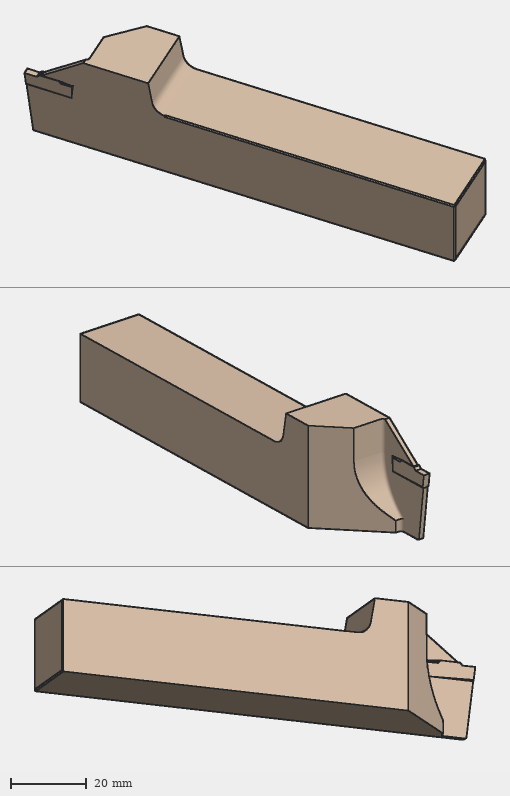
import cadquery as cq
import math

LENGTH = 125.0
WIDTH = 20.0
SHANK_HEIGHT = 20.0
HEAD_HEIGHT = 30.0
HEAD_FRONT_X = 17.0
HEAD_REAR_X = 35.9
HEAD_REAR_ANGLE = 10.0
HEAD_REAR_RADIUS = 4.0
SHANK_CHAMFER = 0.4
CHAMFER_START_X = 40.6

BLADE_THICKNESS = 1.5
NOSE_ANGLE = 7.0
NOSE_CORNER_RADIUS = 0.5

RELIEF_WALL_X = 17.8
RELIEF_ARC_TOP_Z = 20.2
RELIEF_RADIUS = 21.2
RELIEF_ARC_ANGLE = 45.0
RELIEF_FRONT_X = 9.9
RELIEF_FILLET = 1.0
BEVEL_END_X = 26.4
MARGIN = 6.2

INSERT_BOTTOM_Z = 16.0
INSERT_BEVEL_HEIGHT = 0.4
INSERT_SIDE_OVERHANG = 0.2
INSERT_RAKE_END_X = 3.6
INSERT_CLAMP_START_X = 4.4
INSERT_CLAMP_END_X = 10.0
INSERT_CLAMP_Z = 20.8
INSERT_TAIL_START_X = 10.5
INSERT_END_X = 13.6
POCKET_END_X = 14.0
POCKET_END_Z = 20.4
SLOPE_START_X = 4.9


def nose_x(z):
    """X of the inclined front edge at height z."""
    return (SHANK_HEIGHT - z) * math.tan(math.radians(NOSE_ANGLE))


def extrude_side(profile, y_start, y_end):
    """Extrude a closed XZ profile from y_start to y_end."""
    return profile.extrude(y_start - y_end).translate((0, y_start, 0))


def holder_blank():
    rear_foot_x = HEAD_REAR_X + (HEAD_HEIGHT - SHANK_HEIGHT) * math.tan(math.radians(HEAD_REAR_ANGLE))
    profile = cq.Workplane("XZ").polyline([
        (nose_x(0), 0),
        (LENGTH, 0),
        (LENGTH, SHANK_HEIGHT),
        (rear_foot_x, SHANK_HEIGHT),
        (HEAD_REAR_X, HEAD_HEIGHT),
        (HEAD_FRONT_X, HEAD_HEIGHT),
        (SLOPE_START_X, INSERT_CLAMP_Z),
        (nose_x(INSERT_BOTTOM_Z), INSERT_BOTTOM_Z),
    ]).close()
    blank = extrude_side(profile, 0, WIDTH)
    rear_foot = cq.selectors.NearestToPointSelector((rear_foot_x, WIDTH / 2, SHANK_HEIGHT))
    nose_corner = cq.selectors.NearestToPointSelector((nose_x(0), WIDTH / 2, 0))
    blank = blank.edges(rear_foot).fillet(HEAD_REAR_RADIUS)
    blank = blank.edges(nose_corner).fillet(NOSE_CORNER_RADIUS)
    return blank.faces(">X").edges().chamfer(SHANK_CHAMFER)


def relief_tool():
    """Space behind the blade, with a rounded edge that leaves a fillet at the blade root."""
    half = math.radians(RELIEF_ARC_ANGLE / 2)
    arc_center_x = RELIEF_WALL_X - RELIEF_RADIUS

    def arc_point(angle):
        return (arc_center_x + RELIEF_RADIUS * math.cos(angle),
                RELIEF_ARC_TOP_Z - RELIEF_RADIUS * math.sin(angle))

    arc_end_x, arc_end_z = arc_point(2 * half)
    ramp_foot_z = arc_end_z - (arc_end_x - RELIEF_FRONT_X)
    profile = (
        cq.Workplane("XZ")
        .moveTo(-MARGIN, HEAD_HEIGHT + MARGIN)
        .lineTo(RELIEF_WALL_X, HEAD_HEIGHT + MARGIN)
        .lineTo(RELIEF_WALL_X, RELIEF_ARC_TOP_Z)
        .threePointArc(arc_point(half), (arc_end_x, arc_end_z))
        .lineTo(RELIEF_FRONT_X, ramp_foot_z)
        .lineTo(RELIEF_FRONT_X, -MARGIN)
        .lineTo(-MARGIN, -MARGIN)
        .close()
    )
    tool = extrude_side(profile, BLADE_THICKNESS, WIDTH + MARGIN)
    return tool.faces("<Y").edges().fillet(RELIEF_FILLET)


def bevel_tool():
    """45 degree bevel across the far front corner, ending at the relief front."""
    bevel_foot_y = WIDTH - (BEVEL_END_X - RELIEF_FRONT_X)
    return (
        cq.Workplane("XY")
        .polyline([
            (RELIEF_FRONT_X, bevel_foot_y),
            (BEVEL_END_X, WIDTH),
            (RELIEF_FRONT_X, WIDTH),
        ])
        .close()
        .extrude(HEAD_HEIGHT)
    )


def edge_chamfer_tool():
    """Chamfer along the near top edge of the shank."""
    return (
        cq.Workplane("YZ", origin=(CHAMFER_START_X, 0, 0))
        .polyline([
            (0, SHANK_HEIGHT - SHANK_CHAMFER),
            (SHANK_CHAMFER, SHANK_HEIGHT),
            (0, SHANK_HEIGHT),
        ])
        .close()
        .extrude(LENGTH - CHAMFER_START_X)
    )


def pocket_tool():
    """Insert seat through the blade, with clearance above and behind the insert tail."""
    profile = cq.Workplane("XZ").polyline([
        (-MARGIN, INSERT_BOTTOM_Z),
        (INSERT_END_X, INSERT_BOTTOM_Z),
        (POCKET_END_X, POCKET_END_Z),
        (INSERT_CLAMP_END_X, INSERT_CLAMP_Z),
        (-MARGIN, INSERT_CLAMP_Z),
    ]).close()
    return extrude_side(profile, -INSERT_SIDE_OVERHANG, BLADE_THICKNESS + INSERT_SIDE_OVERHANG)


def make_holder():
    holder = holder_blank()
    for tool in (relief_tool(), bevel_tool(), edge_chamfer_tool(), pocket_tool()):
        holder = holder.cut(tool)
    return holder


def insert_cross_section():
    """Bar with beveled lower edges that end flush with the blade faces."""
    bevel_top_z = INSERT_BOTTOM_Z + INSERT_BEVEL_HEIGHT
    return (
        cq.Workplane("YZ")
        .polyline([
            (0, INSERT_BOTTOM_Z),
            (BLADE_THICKNESS, INSERT_BOTTOM_Z),
            (BLADE_THICKNESS + INSERT_SIDE_OVERHANG, bevel_top_z),
            (BLADE_THICKNESS + INSERT_SIDE_OVERHANG, INSERT_CLAMP_Z),
            (-INSERT_SIDE_OVERHANG, INSERT_CLAMP_Z),
            (-INSERT_SIDE_OVERHANG, bevel_top_z),
        ])
        .close()
        .extrude(INSERT_END_X)
    )


def insert_plan():
    """Bar that narrows toward the tail until it is flush with the blade faces."""
    return (
        cq.Workplane("XY")
        .polyline([
            (0, -INSERT_SIDE_OVERHANG),
            (INSERT_END_X, 0),
            (INSERT_END_X, BLADE_THICKNESS),
            (0, BLADE_THICKNESS + INSERT_SIDE_OVERHANG),
        ])
        .close()
        .extrude(HEAD_HEIGHT)
    )


def make_insert():
    profile = cq.Workplane("XZ").polyline([
        (nose_x(INSERT_BOTTOM_Z), INSERT_BOTTOM_Z),
        (INSERT_END_X, INSERT_BOTTOM_Z),
        (INSERT_END_X, SHANK_HEIGHT),
        (INSERT_TAIL_START_X, SHANK_HEIGHT),
        (INSERT_CLAMP_END_X, INSERT_CLAMP_Z),
        (INSERT_CLAMP_START_X, INSERT_CLAMP_Z),
        (INSERT_RAKE_END_X, SHANK_HEIGHT),
        (nose_x(SHANK_HEIGHT), SHANK_HEIGHT),
    ]).close()
    sides = extrude_side(profile, -INSERT_SIDE_OVERHANG, BLADE_THICKNESS + INSERT_SIDE_OVERHANG)
    return sides.intersect(insert_cross_section()).intersect(insert_plan())


holder = make_holder()
insert = make_insert()
result = cq.Compound.makeCompound([holder.val(), insert.val()])